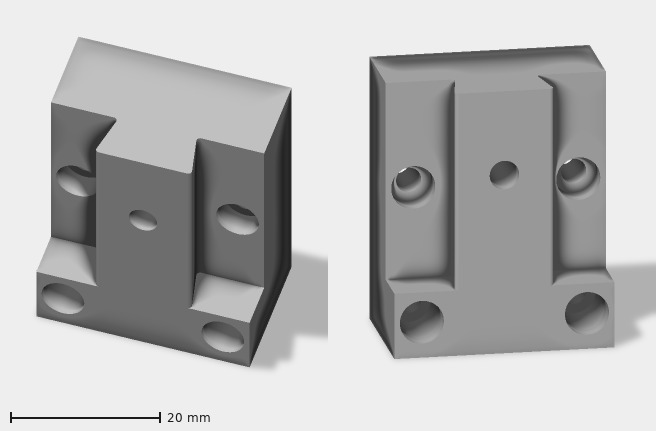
import cadquery as cq
import math

width = 30.0
depth = 18.7
height = 36.75

pocket_floor_z = 9.15
pocket_depth = 6.5
rail_half_width = 6.85
dovetail_angle = 11.5
edge_radius = 0.5
root_half_width = rail_half_width - pocket_depth * math.tan(math.radians(dovetail_angle))

screw_diameter = 3.4
counterbore_diameter = 6.0
counterbore_floor_y = 10.0
screw_x = 11.25
screw_heights = (4.95, 21.9)
center_hole_diameter = 4.0
center_hole_z = 25.0


def side_pocket(side):
    """Pocket beside the rail; side is -1 for -X and +1 for +X."""
    outline = [
        (side * rail_half_width, 0),
        (side * root_half_width, pocket_depth),
        (side * width / 2, pocket_depth),
        (side * width / 2, 0),
    ]
    return (
        cq.Workplane("XY", origin=(0, 0, pocket_floor_z))
        .polyline(outline)
        .close()
        .extrude(height - pocket_floor_z)
    )


def hole_along_y(x, z, diameter, length):
    """Cylinder entering from the front face."""
    return cq.Workplane("XZ", origin=(x, 0, z)).circle(diameter / 2).extrude(-length)


def rail_edges(x, y):
    """Selector for the vertical rail edges at half-width x and depth y."""
    margin = 0.05
    boxes = [
        cq.selectors.BoxSelector(
            (side * x - margin, y - margin, pocket_floor_z),
            (side * x + margin, y + margin, height),
        )
        for side in (-1, 1)
    ]
    return boxes[0] + boxes[1]


block = cq.Workplane("XY").box(width, depth, height, centered=(True, False, False))
for side in (-1, 1):
    block = block.cut(side_pocket(side))

block = block.edges(rail_edges(rail_half_width, 0)).fillet(edge_radius)
block = block.edges(rail_edges(root_half_width, pocket_depth)).fillet(edge_radius)

for x in (-screw_x, screw_x):
    for z in screw_heights:
        block = block.cut(hole_along_y(x, z, screw_diameter, depth))
        block = block.cut(hole_along_y(x, z, counterbore_diameter, counterbore_floor_y))

result = block.cut(hole_along_y(0, center_hole_z, center_hole_diameter, depth))